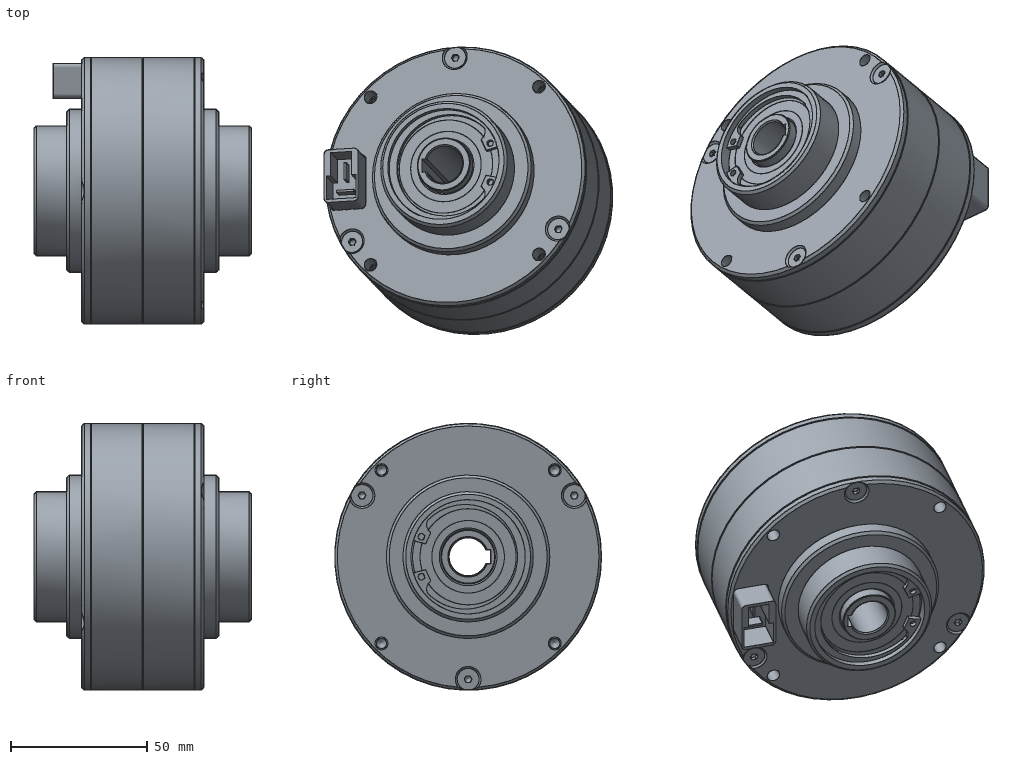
import cadquery as cq
import math


body_radius = 49.0
body_half_length = 22.4
flange_radius = 30.0
flange_end = 27.9
hub_radius = 23.9
hub_end = 40.0
edge_chamfer = 1.0

joint_offset = 19.0
joint_width = 0.5
joint_depth = 0.245

seat_radius = 21.0
bearing_end = 36.1
bearing_chamfer = 0.6
inner_ring_radius = 13.3
outer_ring_radius = 17.6
shield_recess = 0.1

shaft_radius = 10.0
shaft_end = 39.5
shaft_chamfer = 0.3
bore_radius = 7.0
bore_chamfer = 0.5
keyway_width = 5.0
keyway_reach = 8.2

clip_thickness = 1.8
clip_inner_radius = 19.2
clip_inner_shift = 1.1
clip_seat_overlap = 0.5
clip_hole_radius = 1.2
clip_hole_y = -17.15
clip_hole_z = 7.35
ear_gap_inner = (-15.6, 4.7)
ear_gap_outer = (-22.5, 6.6)
ear_toe = (-13.7, 8.8)
ear_shoulder = (-14.6, 9.9)
ear_fillet_middle = (-15.2, 11.4)
ear_fillet_end = (-14.9, 13.3)
ear_back = (-17.6, 14.7)

fastener_circle = 45.0
screw_count = 3
first_screw_angle = 90.0
head_radius = 4.0
head_rim_radius = 4.7
head_depth = 0.8
socket_corner_diameter = 2.8
socket_depth = 1.5
tapped_count = 4
first_tapped_angle = 45.0
mouth_radius = 2.4
mouth_depth = 7.8
tapped_radius = 1.9
tapped_depth = 9.8
drill_tip_angle = 118.0

plug_y = 40.4
plug_width = 12.9
plug_height = 20.0
plug_end = 32.9
plug_corner_radius = 1.7
plug_clearance = 0.3
plug_pocket_depth = 1.0
cavity_half_height = 8.8
cavity_upper_width = 7.8
cavity_lower_width = 11.2
blade_end = 26.8
blade_thickness = 0.8
blade_length = 6.5
lower_blade_z = -4.3


def both_ends(solid):
    """The given -X end feature together with its copy on the +X end."""
    return solid.union(solid.rotate((0, 0, 0), (0, 1, 0), 180))


def face_plane(distance):
    """Sketch plane at X = -distance: local axes are Y and Z, extrusion runs toward +X."""
    return cq.Workplane("YZ", origin=(-distance, 0, 0))


def revolve_about_x(outline):
    """Solid of revolution from (distance from the middle, radius) points, on the -X side."""
    points = [(-distance, radius) for distance, radius in outline]
    return cq.Workplane("XY").polyline(points).close().revolve(360, (0, 0, 0), (1, 0, 0))


def make_turned_half():
    """Stepped housing half with the bearing face and shaft stub in its hub."""
    c = edge_chamfer
    return revolve_about_x([
        (0, 0),
        (0, body_radius),
        (body_half_length - c, body_radius),
        (body_half_length, body_radius - c),
        (body_half_length, flange_radius),
        (flange_end - c, flange_radius),
        (flange_end, flange_radius - c),
        (flange_end, hub_radius),
        (hub_end - c, hub_radius),
        (hub_end, hub_radius - c),
        (hub_end, seat_radius),
        (bearing_end - bearing_chamfer, seat_radius),
        (bearing_end, seat_radius - bearing_chamfer),
        (bearing_end, shaft_radius + bearing_chamfer),
        (bearing_end - bearing_chamfer, shaft_radius),
        (shaft_end - shaft_chamfer, shaft_radius),
        (shaft_end, shaft_radius - shaft_chamfer),
        (shaft_end, 0),
    ])


def make_joint_groove(position):
    """Shallow V groove around the body where two housing parts meet."""
    return revolve_about_x([
        (position - joint_width / 2, body_radius),
        (position, body_radius - joint_depth),
        (position + joint_width / 2, body_radius),
        (position, body_radius + joint_depth),
    ])


def make_shield_recess():
    """Shallow annular recess over the shield between the two bearing rings."""
    return face_plane(bearing_end).circle(outer_ring_radius).circle(inner_ring_radius).extrude(shield_recess)


def make_clip():
    """Retaining ring lying on the bearing, open toward -Y, with two eared ends."""
    plane = face_plane(bearing_end + clip_thickness)
    disc = plane.circle(seat_radius + clip_seat_overlap).extrude(clip_thickness)
    opening = plane.center(-clip_inner_shift, 0).circle(clip_inner_radius).extrude(clip_thickness)
    ear = (
        plane
        .moveTo(*ear_gap_inner)
        .lineTo(*ear_toe)
        .lineTo(*ear_shoulder)
        .threePointArc(ear_fillet_middle, ear_fillet_end)
        .lineTo(*ear_back)
        .lineTo(*ear_gap_outer)
        .close()
        .extrude(clip_thickness)
        .intersect(disc)
    )
    inner_y, inner_z = ear_gap_inner
    outer_y, outer_z = ear_gap_outer
    gap = (
        plane
        .polyline([(inner_y, inner_z), (outer_y, outer_z), (outer_y, -outer_z), (inner_y, -inner_z)])
        .close()
        .extrude(clip_thickness)
    )
    holes = (
        plane
        .pushPoints([(clip_hole_y, clip_hole_z), (clip_hole_y, -clip_hole_z)])
        .circle(clip_hole_radius)
        .extrude(clip_thickness)
    )
    ring = disc.cut(opening).cut(gap)
    return ring.union(ear).union(ear.mirror("XY")).cut(holes)


def make_bore():
    """Through bore with keyway toward +Y and chamfered mouths."""
    plane = face_plane(shaft_end)
    bore = plane.circle(bore_radius).extrude(2 * shaft_end)
    keyway = plane.center(keyway_reach / 2, 0).rect(keyway_reach, keyway_width).extrude(2 * shaft_end)
    mouth = revolve_about_x([
        (shaft_end, 0),
        (shaft_end, bore_radius + bore_chamfer),
        (shaft_end - bore_chamfer, bore_radius),
        (shaft_end - bore_chamfer, 0),
    ])
    return bore.union(keyway).union(both_ends(mouth))


def on_fastener_circle(cutter, count, first_angle):
    """Copies of an on-axis cutter spread around the fastener circle; angles run from +Y to +Z."""
    copies = cq.Workplane("XY")
    for index in range(count):
        angle = math.radians(first_angle + index * 360 / count)
        y = fastener_circle * math.cos(angle)
        z = fastener_circle * math.sin(angle)
        copies = copies.add(cutter.translate((0, y, z)))
    return copies.combine()


def drill_tip_height(radius):
    """Height of the cone a drill of this radius leaves at the bottom of a hole."""
    return radius / math.tan(math.radians(drill_tip_angle / 2))


def make_screw_recesses():
    """Tapered recesses down to the screw heads, each with a hexagon socket drilled to a point."""
    head_face = body_half_length - head_depth
    socket_floor = head_face - socket_depth
    socket_flat_radius = socket_corner_diameter / 2 * math.cos(math.radians(30))
    recess = revolve_about_x([
        (body_half_length, 0),
        (body_half_length, head_rim_radius),
        (head_face, head_radius),
        (head_face, 0),
    ])
    socket = face_plane(head_face).polygon(6, socket_corner_diameter).extrude(socket_depth)
    tip = revolve_about_x([
        (socket_floor, 0),
        (socket_floor, socket_flat_radius),
        (socket_floor - drill_tip_height(socket_flat_radius), 0),
    ])
    return on_fastener_circle(recess.union(socket).union(tip), screw_count, first_screw_angle)


def make_tapped_holes():
    """Blind tapped holes with a wider mouth and a drill-tip bottom."""
    hole_step = body_half_length - mouth_depth
    tapped_end = body_half_length - tapped_depth
    hole = revolve_about_x([
        (body_half_length, 0),
        (body_half_length, mouth_radius),
        (hole_step, mouth_radius),
        (hole_step, tapped_radius),
        (tapped_end, tapped_radius),
        (tapped_end - drill_tip_height(tapped_radius), 0),
    ])
    return on_fastener_circle(hole, tapped_count, first_tapped_angle)


def make_plug_pocket():
    """Pocket in the end face leaving a narrow gap around the plug socket."""
    return (
        face_plane(body_half_length)
        .center(plug_y, 0)
        .rect(plug_width + 2 * plug_clearance, plug_height + 2 * plug_clearance)
        .extrude(plug_pocket_depth)
        .edges("|X")
        .fillet(plug_corner_radius + plug_clearance)
    )


def make_plug():
    """Hollow plug socket with a stepped cavity and two contact blades at right angles."""
    shell_length = plug_end - body_half_length + plug_pocket_depth
    cavity_depth = plug_end - body_half_length
    blade_height = blade_end - body_half_length
    shell = (
        face_plane(plug_end)
        .center(plug_y, 0)
        .rect(plug_width, plug_height)
        .extrude(shell_length)
        .edges("|X")
        .fillet(plug_corner_radius)
    )
    mouth = face_plane(plug_end).center(plug_y, 0)
    upper_cavity = (
        mouth.center(0, cavity_half_height / 2)
        .rect(cavity_upper_width, cavity_half_height)
        .extrude(cavity_depth)
    )
    lower_cavity = (
        mouth.center(0, -cavity_half_height / 2)
        .rect(cavity_lower_width, cavity_half_height)
        .extrude(cavity_depth)
    )
    blades = face_plane(blade_end).center(plug_y, 0)
    upper_blade = (
        blades.center(0, blade_length / 2)
        .rect(blade_thickness, blade_length)
        .extrude(blade_height)
    )
    lower_blade = (
        blades.center(0, lower_blade_z)
        .rect(blade_length, blade_thickness)
        .extrude(blade_height)
    )
    return shell.cut(upper_cavity).cut(lower_cavity).union(upper_blade).union(lower_blade)


result = both_ends(make_turned_half())
for joint_position in (-joint_offset, 0, joint_offset):
    result = result.cut(make_joint_groove(joint_position))
result = result.cut(both_ends(make_shield_recess()))
result = result.union(both_ends(make_clip()))
result = result.cut(make_bore())
result = result.cut(both_ends(make_screw_recesses()))
result = result.cut(both_ends(make_tapped_holes()))
result = result.cut(make_plug_pocket())
result = result.union(make_plug())